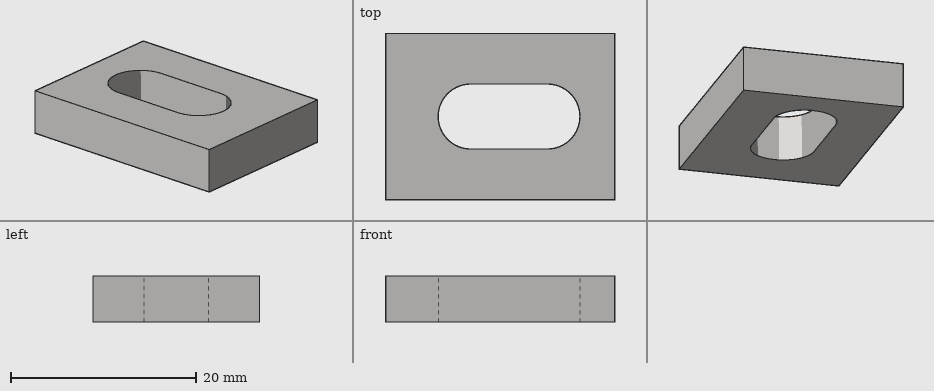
import cadquery as cq

plate_length = 24.8
plate_width = 18.0
plate_thickness = 5.0

slot_width = 7.0
left_margin = 5.7
right_margin = 3.8
slot_length = plate_length - left_margin - right_margin
slot_center_x = (left_margin - right_margin) / 2


def make_plate():
    return cq.Workplane("XY").box(
        plate_length, plate_width, plate_thickness, centered=(True, True, False)
    )


def cut_slot(body):
    slot = (
        cq.Workplane("XY")
        .center(slot_center_x, 0)
        .slot2D(slot_length, slot_width)
        .extrude(plate_thickness)
    )
    return body.cut(slot)


result = cut_slot(make_plate())